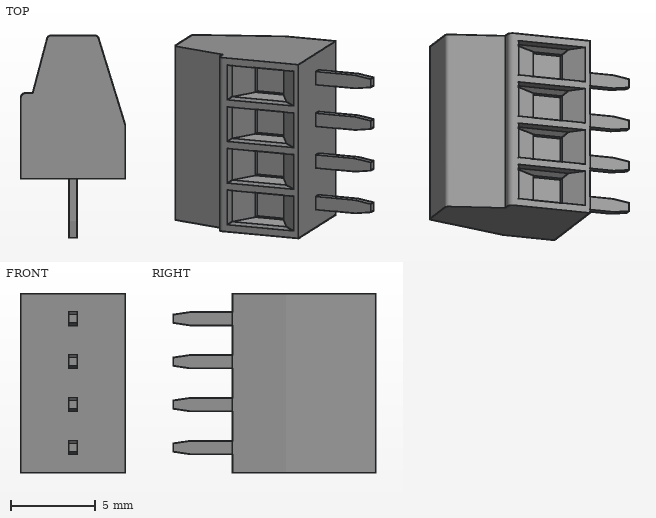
import cadquery as cq

POLES = 4
PITCH = 2.55

TOTAL_LENGTH = 12
BODY_WIDTH = 6.2
BODY_LENGTH = 8.5
BODY_HEIGHT = 10.62

SHOULDER_Y = 5.09
SHOULDER_DEPTH = 0.71
BACK_SLOPE_Y = 3.19
RIDGE_LEFT = 1.61
RIDGE_RIGHT = 4.57
SHOULDER_RADIUS = 0.3
RIDGE_RADIUS = 0.24

ENTRY_MARGIN = 0.3
ENTRY_LENGTH = 4.21
ENTRY_HEIGHT = 2.11
ENTRY_STRAIGHT = 0.8
FUNNEL_DEPTH = 1.1
FRONT_WALL_SHIFT = 1.07
UPPER_BEVEL = 0.26
LOWER_BEVEL = 0.32
CLAMP_LENGTH = 1.8
CLAMP_DEPTH = 0.35

PIN_LENGTH = TOTAL_LENGTH - BODY_LENGTH
PIN_WIDTH = 0.48
PIN_HEIGHT = 0.8
PIN_TIP_HEIGHT = 0.5
PIN_TAPER_LENGTH = 1.0

entry_face_x = -BODY_WIDTH / 2
back_face_x = BODY_WIDTH / 2
clamp_front_y = ENTRY_MARGIN + FRONT_WALL_SHIFT
clamp_back_y = clamp_front_y + CLAMP_LENGTH
entry_back_y = ENTRY_MARGIN + ENTRY_LENGTH
clamp_top_z = ENTRY_HEIGHT / 2 - UPPER_BEVEL
clamp_bottom_z = LOWER_BEVEL - ENTRY_HEIGHT / 2
pole_heights = [(i - (POLES - 1) / 2) * PITCH for i in range(POLES)]


def make_body():
    """Extruded plan outline with rounded shoulder and ridge edges."""
    ridge_points = [
        (entry_face_x + RIDGE_LEFT, BODY_LENGTH),
        (entry_face_x + RIDGE_RIGHT, BODY_LENGTH),
    ]
    outline = [
        (entry_face_x, 0),
        (back_face_x, 0),
        (back_face_x, BACK_SLOPE_Y),
        ridge_points[1],
        ridge_points[0],
        (entry_face_x + SHOULDER_DEPTH, SHOULDER_Y),
        (entry_face_x, SHOULDER_Y),
    ]
    body = (
        cq.Workplane("XY")
        .workplane(offset=-BODY_HEIGHT / 2)
        .polyline(outline)
        .close()
        .extrude(BODY_HEIGHT)
    )
    body = body.faces(">Y").edges("|Z").fillet(RIDGE_RADIUS)
    shoulder_edge = cq.selectors.NearestToPointSelector((entry_face_x, SHOULDER_Y, 0))
    return body.edges("|Z").edges(shoulder_edge).fillet(SHOULDER_RADIUS)


def prism_along_z(points, height):
    """Prism on an XY outline, centred on Z = 0."""
    return cq.Workplane("XY").polyline(points).close().extrude(height / 2, both=True)


def make_entry():
    """Cutter for one wire entry: a funnel narrowing to a rectangular clamp hole."""
    straight_x = entry_face_x + ENTRY_STRAIGHT
    funnel_x = entry_face_x + FUNNEL_DEPTH
    plan = prism_along_z(
        [
            (entry_face_x, ENTRY_MARGIN),
            (funnel_x, clamp_front_y),
            (funnel_x, clamp_back_y),
            (straight_x, entry_back_y),
            (entry_face_x, entry_back_y),
        ],
        ENTRY_HEIGHT,
    )
    side = (
        cq.Workplane("XZ")
        .polyline(
            [
                (entry_face_x, -ENTRY_HEIGHT / 2),
                (straight_x, -ENTRY_HEIGHT / 2),
                (funnel_x, clamp_bottom_z),
                (funnel_x, clamp_top_z),
                (straight_x, ENTRY_HEIGHT / 2),
                (entry_face_x, ENTRY_HEIGHT / 2),
            ]
        )
        .close()
        .extrude(-BODY_LENGTH)
    )
    clamp_hole = cq.Workplane("XY").box(
        CLAMP_DEPTH, CLAMP_LENGTH, clamp_top_z - clamp_bottom_z, centered=False
    )
    clamp_hole = clamp_hole.translate((funnel_x, clamp_front_y, clamp_bottom_z))
    return plan.intersect(side).union(clamp_hole)


def make_pin():
    """Flat pin whose upper and lower faces taper toward the tip."""
    taper_y = PIN_TAPER_LENGTH - PIN_LENGTH
    return (
        cq.Workplane("YZ")
        .polyline(
            [
                (0, -PIN_HEIGHT / 2),
                (taper_y, -PIN_HEIGHT / 2),
                (-PIN_LENGTH, -PIN_TIP_HEIGHT / 2),
                (-PIN_LENGTH, PIN_TIP_HEIGHT / 2),
                (taper_y, PIN_HEIGHT / 2),
                (0, PIN_HEIGHT / 2),
            ]
        )
        .close()
        .extrude(PIN_WIDTH / 2, both=True)
    )


result = make_body()
entry = make_entry()
pin = make_pin()
for height in pole_heights:
    result = result.cut(entry.translate((0, 0, height)))
    result = result.union(pin.translate((0, 0, height)))